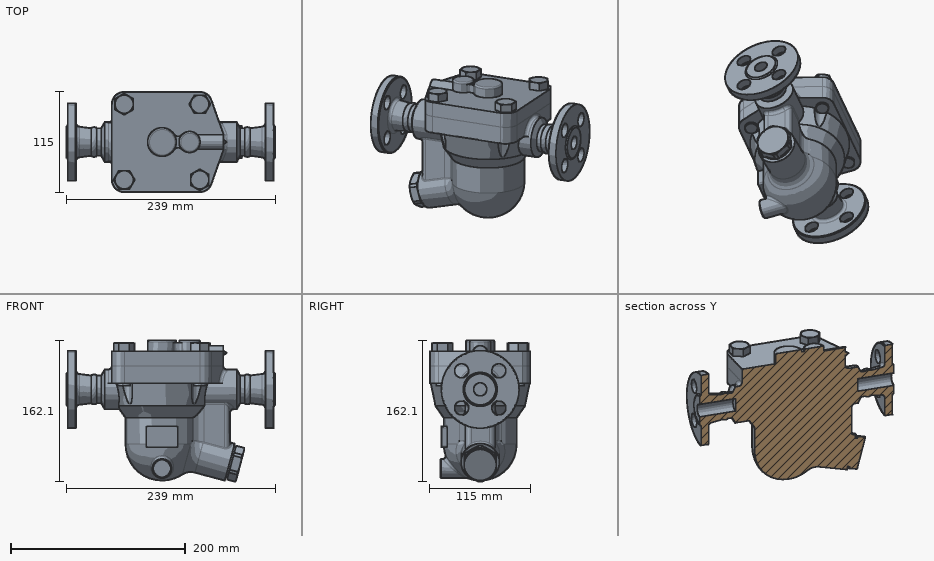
import math

import cadquery as cq


inlet_face_x = -109.5
outlet_face_x = 129.5
flange_dia = 89.0
flange_thickness = 9.9
flange_chamfer = 1.0
raised_face_height = 1.6
raised_face_dia = 35.5
raised_face_base_dia = 39.0
bolt_hole_dia = 16.0
bolt_circle_dia = 60.3
bolt_hole_count = 4
bolt_hole_start_angle = 45
bore_dia = 15.0
neck_fillet = 3.5
neck_large_dia = 35.5
neck_small_dia = 32.0
bead_start = 28.5
bead_length = 6.5
bead_height = 1.2
neck_end = 40.0
shoulder_length = 4.0
pipe_dia = 46.0

bolt_offset = 43.3
plate_half_width = 57.5
plate_corner_radius = plate_half_width - bolt_offset
nose_x = 70.2
nose_half_width = 9.4
flange_bottom_z = 7.1
joint_z = 27.2
cover_top_z = 43.8
pipe_blend_radius = 4.0

cap_top_z = 56.3
cap_fillet = 1.8
main_cap_dia = 32.8
small_cap_dia = 24.2
small_cap_x = 31.6
bridge_top_z = 53.4
bridge_side_radius = 6.0
ridge_dia = 17.2
ridge_z = 41.4
nose_tip_dia = 5.2
nose_tip_length = 4.0
nose_tip_z = 41.8

bolt_across_flats = 21.0
bolt_turned_dia = 2 * bolt_across_flats / math.sqrt(3)
bolt_head_top_z = 53.2
bolt_head_chamfer = 1.2
bolt_end_dia = 14.4
bolt_end_z = 4.4
bolt_relief_dia = 18.8

bowl_dia = 84.0
bowl_radius = bowl_dia / 2
dome_center_z = -62.5
bowl_top_radius = 56.9
bowl_shoulder_radius = 51.4
bowl_shoulder_z = -18.9
bowl_cone_end_z = -32.4

pad_width = 36.4
pad_top_z = -42.3
pad_bottom_z = -66.3
pad_y = -44.4
pad_corner_radius = 1.8

drain_dia = 22.0
drain_z = -90.6
drain_end_y = -45.7
drain_chamfer = 1.0
drain_fillet = 3.0

arm_tilt = 15.0
arm_dia = 44.0
arm_length = 80.3
arm_blend_radius = 18.0
gasket_dia = 36.0
gasket_end = 82.5
plug_end = 92.8
plug_across_flats = 36.8
plug_turned_dia = 40.4
plug_chamfer = 1.5

web_half_width = 17.0
web_end_x = 77.9
web_end_fillet = 6.5
web_bowl_fillet = 16.0
web_pipe_fillet = 4.0
web_arm_fillet = 2.0
web_blend_start_x = 31.5

box_margin = 0.5


def vertical_cylinder(dia, bottom_z, top_z, x=0.0, y=0.0):
    """Cylinder along Z between two heights."""
    return cq.Workplane("XY", origin=(x, y, bottom_z)).circle(dia / 2).extrude(top_z - bottom_z)


def fillet_edges_in_box(solid, low, high, radius):
    """Fillet the edges whose centers lie between two box corners."""
    return solid.edges(cq.selectors.BoxSelector(low, high)).fillet(radius)


def chamfered_hex(across_flats, turned_dia, height, chamfer):
    """Hexagon head on Z = 0, vertices on +X and -X, turned to a diameter and chamfered on top."""
    head = cq.Workplane("XY").polygon(6, 2 * across_flats / math.sqrt(3)).extrude(height)
    turned = cq.Workplane("XY").circle(turned_dia / 2).extrude(height).faces(">Z").chamfer(
        chamfer / 2, (turned_dia - across_flats) / 2
    )
    return head.intersect(turned)


def connection(face_x, inward):
    """Flanged pipe end; inward is +1 or -1, the direction from the flange face to the body."""
    def at(distance):
        return face_x + inward * distance

    flange_back = raised_face_height + flange_thickness
    bead_end = bead_start + bead_length
    small_radius = neck_small_dia / 2
    large_radius = neck_large_dia / 2
    outline = (
        cq.Workplane("XZ")
        .moveTo(at(0), 0)
        .lineTo(at(0), raised_face_dia / 2)
        .lineTo(at(raised_face_height), raised_face_base_dia / 2)
        .lineTo(at(raised_face_height), flange_dia / 2)
        .lineTo(at(flange_back - flange_chamfer), flange_dia / 2)
        .lineTo(at(flange_back), flange_dia / 2 - flange_chamfer)
        .lineTo(at(flange_back), large_radius + neck_fillet)
        .radiusArc((at(flange_back + neck_fillet), large_radius), -inward * neck_fillet)
        .lineTo(at(bead_start), small_radius)
        .threePointArc(
            (at(bead_start + bead_length / 2), small_radius + bead_height),
            (at(bead_end), small_radius),
        )
        .lineTo(at(neck_end), small_radius)
        .lineTo(at(neck_end + shoulder_length), pipe_dia / 2)
        .lineTo(0, pipe_dia / 2)
        .lineTo(0, 0)
        .close()
    )
    return outline.revolve(360, (0, 0, 0), (1, 0, 0))


def connection_holes(face_x, inward):
    """Flange bolt holes and the blind bore through the neck."""
    face = cq.Workplane("YZ", origin=(face_x, 0, 0))
    holes = (
        face.polarArray(bolt_circle_dia / 2, bolt_hole_start_angle, 360, bolt_hole_count)
        .circle(bolt_hole_dia / 2)
        .extrude(inward * (raised_face_height + flange_thickness))
    )
    bore = face.circle(bore_dia / 2).extrude(inward * (neck_end + shoulder_length))
    return holes.union(bore)


def plate(bottom_z, top_z):
    """Square plate with rounded corners and a blunt nose pointing to +X."""
    reach_x = nose_x - bolt_offset
    reach_y = bolt_offset - nose_half_width
    tangent_angle = math.acos(plate_corner_radius / math.hypot(reach_x, reach_y)) - math.atan2(
        reach_y, reach_x
    )
    middle_angle = (tangent_angle + math.pi / 2) / 2

    def corner_point(angle, side):
        return (
            bolt_offset + plate_corner_radius * math.cos(angle),
            side * (bolt_offset + plate_corner_radius * math.sin(angle)),
        )

    outline = (
        cq.Workplane("XY", origin=(0, 0, bottom_z))
        .moveTo(-plate_half_width, -plate_half_width)
        .lineTo(bolt_offset, -plate_half_width)
        .threePointArc(corner_point(middle_angle, -1), corner_point(tangent_angle, -1))
        .lineTo(nose_x, -nose_half_width)
        .lineTo(nose_x, nose_half_width)
        .lineTo(*corner_point(tangent_angle, 1))
        .threePointArc(corner_point(middle_angle, 1), (bolt_offset, plate_half_width))
        .lineTo(-plate_half_width, plate_half_width)
        .close()
    )
    return outline.extrude(top_z - bottom_z).edges("|Z and <X").fillet(plate_corner_radius)


def body_flange():
    """Plate of the body with its blends onto the inlet and outlet pipes."""
    flange = plate(flange_bottom_z, joint_z)
    inlet_x = -plate_half_width
    blend_radius = pipe_dia / 2 + pipe_blend_radius
    inlet_blend = (
        cq.Workplane("XZ")
        .moveTo(inlet_x, 0)
        .lineTo(inlet_x, blend_radius)
        .radiusArc((inlet_x - pipe_blend_radius, pipe_dia / 2), pipe_blend_radius)
        .lineTo(inlet_x - pipe_blend_radius, 0)
        .close()
        .revolve(360, (0, 0, 0), (1, 0, 0))
    )
    above_flange_bottom = cq.Workplane("XY", origin=(0, 0, flange_bottom_z)).rect(
        4 * plate_half_width, 4 * plate_half_width
    ).extrude(joint_z - flange_bottom_z)
    return flange.union(inlet_blend.intersect(above_flange_bottom))


def bowl():
    """Conical upper body, cylinder and hemispherical dome."""
    outline = (
        cq.Workplane("XZ")
        .moveTo(0, flange_bottom_z)
        .lineTo(bowl_top_radius, flange_bottom_z)
        .lineTo(bowl_shoulder_radius, bowl_shoulder_z)
        .lineTo(bowl_radius, bowl_cone_end_z)
        .lineTo(bowl_radius, dome_center_z)
        .radiusArc((0, dome_center_z - bowl_radius), bowl_radius)
        .close()
    )
    return outline.revolve(360, (0, 0, 0), (0, 1, 0))


def bolt_positions():
    return [(sx * bolt_offset, sy * bolt_offset) for sx in (-1, 1) for sy in (-1, 1)]


def bolt_head(x, y):
    """Hexagon head on the cover; neighboring heads are turned by half a facet."""
    half_facet_angle = 360 / 12
    turn = half_facet_angle if x * y < 0 else 0
    height = bolt_head_top_z - cover_top_z
    head = chamfered_hex(bolt_across_flats, bolt_turned_dia, height, bolt_head_chamfer)
    return head.rotate((0, 0, 0), (0, 0, 1), turn).translate((x, y, cover_top_z))


def cap_bridge():
    """Web between the caps; each side is one concave arc tangent to both caps."""
    main_radius = main_cap_dia / 2
    main_distance = main_radius + bridge_side_radius
    small_distance = small_cap_dia / 2 + bridge_side_radius
    arc_x = (main_distance**2 - small_distance**2 + small_cap_x**2) / (2 * small_cap_x)
    arc_y = math.sqrt(main_distance**2 - arc_x**2)
    main_share = main_radius / main_distance
    small_share = bridge_side_radius / small_distance
    main_touch = (arc_x * main_share, arc_y * main_share)
    small_touch = (arc_x + (small_cap_x - arc_x) * small_share, arc_y * (1 - small_share))
    return (
        cq.Workplane("XY", origin=(0, 0, joint_z))
        .lineTo(*main_touch)
        .threePointArc((arc_x, arc_y - bridge_side_radius), small_touch)
        .lineTo(small_cap_x, 0)
        .lineTo(small_touch[0], -small_touch[1])
        .threePointArc((arc_x, bridge_side_radius - arc_y), (main_touch[0], -main_touch[1]))
        .close()
        .extrude(bridge_top_z - joint_z)
    )


def cover_details():
    """Round caps with their bridge, and the ridge that ends on the nose."""
    main_cap = vertical_cylinder(main_cap_dia, joint_z, cap_top_z).faces(">Z").edges().fillet(cap_fillet)
    small_cap = vertical_cylinder(small_cap_dia, joint_z, cap_top_z, small_cap_x)
    small_cap = small_cap.faces(">Z").edges().fillet(cap_fillet)
    ridge = (
        cq.Workplane("YZ", origin=(small_cap_x, 0, ridge_z))
        .circle(ridge_dia / 2)
        .extrude(nose_x - small_cap_x)
    )
    tip = cq.Workplane(
        cq.Solid.makeCone(
            nose_tip_dia / 2, 0, nose_tip_length, cq.Vector(nose_x, 0, nose_tip_z), cq.Vector(1, 0, 0)
        )
    )
    return main_cap.union(small_cap).union(cap_bridge()).union(ridge).union(tip)


def name_plate_pad():
    height = pad_top_z - pad_bottom_z
    return (
        cq.Workplane("XZ", origin=(0, 0, (pad_top_z + pad_bottom_z) / 2))
        .rect(pad_width, height)
        .extrude(-pad_y)
        .edges("|Y")
        .fillet(pad_corner_radius)
    )


def drain_boss():
    return (
        cq.Workplane("XZ", origin=(0, 0, drain_z))
        .circle(drain_dia / 2)
        .extrude(-drain_end_y)
        .faces("<Y")
        .chamfer(drain_chamfer)
    )


def place_on_arm_axis(shape):
    """Move a shape built along +X from the origin onto the inclined arm axis."""
    return shape.rotate((0, 0, 0), (0, 1, 0), arm_tilt).translate((0, 0, dome_center_z))


def arm():
    """Cylinder that leaves the dome on the inclined axis."""
    return place_on_arm_axis(cq.Workplane("YZ").circle(arm_dia / 2).extrude(arm_length))


def arm_blend():
    """Concave ring that is tangent to the dome and to the arm."""
    arm_radius = arm_dia / 2
    center_radius = arm_radius + arm_blend_radius
    center_x = math.sqrt((bowl_radius + arm_blend_radius) ** 2 - center_radius**2)
    dome_share = bowl_radius / (bowl_radius + arm_blend_radius)
    outline = (
        cq.Workplane("XZ")
        .lineTo(center_x * dome_share, 0)
        .lineTo(center_x, 0)
        .lineTo(center_x, arm_radius)
        .radiusArc((center_x * dome_share, center_radius * dome_share), arm_blend_radius)
        .close()
    )
    return place_on_arm_axis(outline.revolve(360, (0, 0, 0), (1, 0, 0)))


def strainer_plug():
    """Gasket ring and hexagon plug on the end of the arm."""
    gasket = cq.Workplane("YZ").circle(gasket_dia / 2).extrude(gasket_end)
    head = chamfered_hex(plug_across_flats, plug_turned_dia, plug_end - gasket_end, plug_chamfer)
    head = head.rotate((0, 0, 0), (0, 1, 0), 90).translate((gasket_end, 0, 0))
    return place_on_arm_axis(gasket.union(head))


def web_plate():
    """Upright plate with a rounded outer end."""
    bottom_z = dome_center_z - arm_dia / 2
    block = (
        cq.Workplane("XY", origin=(web_end_x / 2, 0, bottom_z))
        .rect(web_end_x, 2 * web_half_width)
        .extrude(-bottom_z)
    )
    return block.edges("|Z and >X").fillet(web_end_fillet)


def web_root():
    """Concave blends from the bowl cylinder to both sides of the web."""
    fillet_center_y = web_half_width + web_bowl_fillet
    fillet_center_x = math.sqrt((bowl_radius + web_bowl_fillet) ** 2 - fillet_center_y**2)
    bowl_share = bowl_radius / (bowl_radius + web_bowl_fillet)
    touch_x = fillet_center_x * bowl_share
    touch_y = fillet_center_y * bowl_share
    outline = (
        cq.Workplane("XY", origin=(0, 0, dome_center_z))
        .lineTo(touch_x, -touch_y)
        .radiusArc((fillet_center_x, -web_half_width), web_bowl_fillet)
        .lineTo(fillet_center_x, web_half_width)
        .radiusArc((touch_x, touch_y), web_bowl_fillet)
        .close()
    )
    return outline.extrude(-dome_center_z)


def bowl_with_drain():
    joined = bowl().union(drain_boss())
    low = (-drain_dia, -bowl_radius, drain_z - drain_dia)
    high = (drain_dia, -drain_dia / 2, drain_z + drain_dia)
    return fillet_edges_in_box(joined, low, high, drain_fillet)


def outlet_with_flange():
    """Body flange and outlet pipe with the blend around their meeting edge."""
    joined = body_flange().union(connection(outlet_face_x, -1))
    low = (bolt_offset, -pipe_dia / 2, flange_bottom_z + box_margin)
    high = (nose_x + box_margin, pipe_dia / 2, pipe_dia / 2 + box_margin)
    return fillet_edges_in_box(joined, low, high, pipe_blend_radius)


def outlet_with_web():
    """Outlet side of the body: flange, pipe, web and arm with their blends."""
    joined = outlet_with_flange().union(web_plate())
    low = (box_margin, -pipe_dia / 2, -pipe_dia / 2)
    high = (web_end_x + box_margin, pipe_dia / 2, -box_margin)
    joined = fillet_edges_in_box(joined, low, high, web_pipe_fillet)
    joined = joined.union(arm().union(arm_blend())).union(web_root())
    low = (web_blend_start_x, -arm_dia / 2, dome_center_z - web_pipe_fillet)
    high = (web_end_x + box_margin, arm_dia / 2, dome_center_z + web_end_fillet)
    return fillet_edges_in_box(joined, low, high, web_arm_fillet)


def body():
    shell = bowl_with_drain()
    for x, y in bolt_positions():
        shell = shell.cut(vertical_cylinder(bolt_relief_dia, dome_center_z, flange_bottom_z, x, y))
    shell = shell.union(outlet_with_web()).union(strainer_plug())
    shell = shell.union(name_plate_pad()).union(connection(inlet_face_x, 1))
    for x, y in bolt_positions():
        shell = shell.union(vertical_cylinder(bolt_end_dia, bolt_end_z, joint_z, x, y))
    return shell.cut(connection_holes(inlet_face_x, 1)).cut(connection_holes(outlet_face_x, -1))


def cover():
    lid = plate(joint_z, cover_top_z).union(cover_details())
    for x, y in bolt_positions():
        lid = lid.union(bolt_head(x, y))
    return lid


result = body().union(cover(), clean=False)